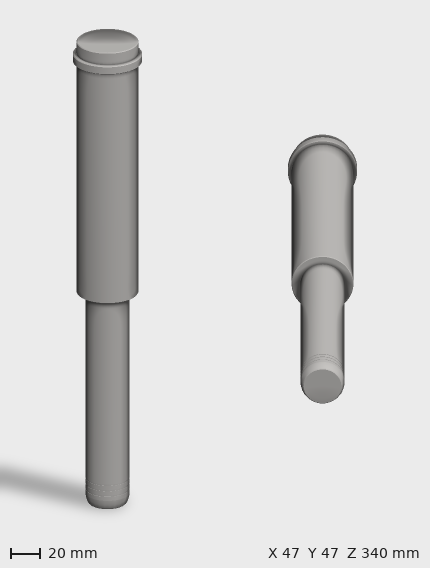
import cadquery as cq

total_length = 340.0
pin_diameter = 30.0

lead_in_height = 7.0
lead_in_end_diameter = 26.5
pin_end_chamfer = 0.5

groove_count = 3
groove_pitch = 4.0
groove_width = 1.0
groove_depth = 0.25
first_groove_z = 10.0

sleeve_diameter = 42.0
sleeve_length = 185.0
sleeve_chamfer = 0.5

collar_diameter = 47.0
collar_height = 6.0
collar_top_offset = 9.0
collar_chamfer = 0.5

relief_width = 1.0
relief_depth = 0.25

pin_radius = pin_diameter / 2
sleeve_radius = sleeve_diameter / 2
sleeve_bottom_z = total_length - sleeve_length
collar_top_z = total_length - collar_top_offset
collar_bottom_z = collar_top_z - collar_height


def disc(bottom_z, height, radius):
    """Solid cylinder on the Z axis."""
    return cq.Workplane("XY").workplane(offset=bottom_z).circle(radius).extrude(height)


def chamfered_disc(bottom_z, height, radius, chamfer):
    """Solid cylinder on the Z axis with both rims chamfered."""
    return disc(bottom_z, height, radius).faces("<Z or >Z").chamfer(chamfer)


def cut_ring_groove(shaft, bottom_z, width, radius, depth):
    """Cut a square ring groove into a shaft of the given radius."""
    core = disc(bottom_z, width, radius - depth)
    ring = disc(bottom_z, width, radius + depth).cut(core)
    return shaft.cut(ring)


def make_pin():
    """Pin whose lower end curves in tangentially from its full diameter."""
    end_radius = lead_in_end_diameter / 2
    pin = (
        cq.Workplane("XZ")
        .moveTo(0, sleeve_bottom_z)
        .lineTo(pin_radius, sleeve_bottom_z)
        .lineTo(pin_radius, lead_in_height)
        .tangentArcPoint((end_radius, pin_end_chamfer), relative=False)
        .lineTo(end_radius - pin_end_chamfer, 0)
        .lineTo(0, 0)
        .close()
        .revolve(360, (0, 0, 0), (0, 1, 0))
    )
    for index in range(groove_count):
        groove_z = first_groove_z + index * groove_pitch
        pin = cut_ring_groove(pin, groove_z, groove_width, pin_radius, groove_depth)
    return pin


def make_sleeve():
    """Chamfered sleeve carrying the collar between its two relief grooves."""
    sleeve = chamfered_disc(sleeve_bottom_z, sleeve_length, sleeve_radius, sleeve_chamfer)
    for relief_z in (collar_top_z, collar_bottom_z - relief_width):
        sleeve = cut_ring_groove(sleeve, relief_z, relief_width, sleeve_radius, relief_depth)
    collar = chamfered_disc(collar_bottom_z, collar_height, collar_diameter / 2, collar_chamfer)
    return sleeve.union(collar)


result = make_pin().union(make_sleeve())